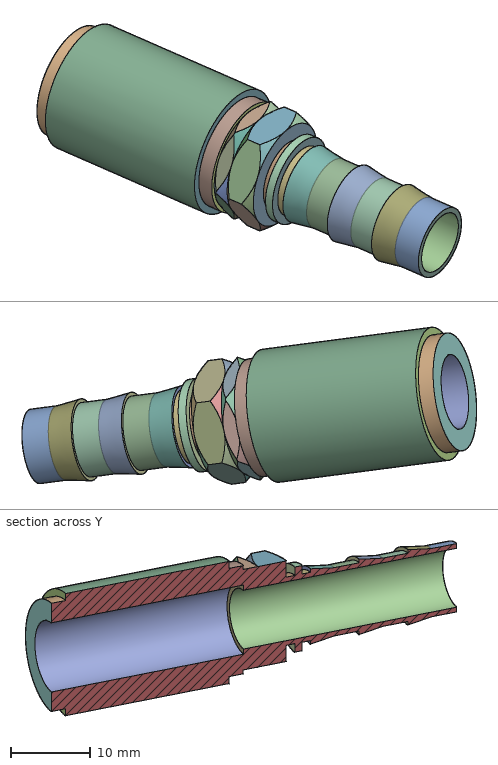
import cadquery as cq
import math

total_length = 57
collar_length = 2.0
sleeve_length = 23.0
nut_thin_width = 2.0
nut_wide_width = 4.05
ring_start = 34.2
ring_width = 1.1
barb_start = 36.4
barb_length = 3.3
barb_pitch = 6.85
barb_count = 3

sleeve_diameter = 17.0
collar_diameter = 15.05
nut_across_flats = 13.95
ring_diameter = 11.85
tail_diameter = 9.5
barb_diameter = 10.5
bore_diameter = 8.1
socket_diameter = tail_diameter

sleeve_end = collar_length + sleeve_length
collar_end = sleeve_end + collar_length
nut_joint = collar_end + nut_thin_width
nut_end = nut_joint + nut_wide_width


def cylinder(diameter, start, end):
    """Cylinder on the X axis between two places along X."""
    return cq.Workplane("YZ", origin=(start, 0, 0)).circle(diameter / 2).extrude(end - start)


def turned(points):
    """Solid turned about the X axis from a profile of (place along X, radius) points."""
    return cq.Workplane("XZ").polyline(points).close().revolve(360, (0, 0, 0), (1, 0, 0))


def hex_section(start, end):
    """Hexagon with flats facing +Z and -Z, its corners chamfered at 45 degrees on both ends."""
    flat_radius = nut_across_flats / 2
    across_corners = nut_across_flats / math.cos(math.pi / 6)
    width = end - start
    prism = cq.Workplane("YZ", origin=(start, 0, 0)).polygon(6, across_corners).extrude(width)
    cones = turned([
        (start, 0),
        (start, flat_radius),
        (start + width / 2, flat_radius + width / 2),
        (end, flat_radius),
        (end, 0),
    ])
    return prism.intersect(cones)


def barb(start):
    """Hose barb: a sharp step that tapers down to the tail towards +X."""
    end = start + barb_length
    return turned([(start, 0), (start, barb_diameter / 2), (end, tail_diameter / 2), (end, 0)])


body = cylinder(collar_diameter, 0, collar_end)
body = body.union(cylinder(sleeve_diameter, collar_length, sleeve_end))

body = body.union(hex_section(collar_end, nut_joint))
body = body.union(hex_section(nut_joint, nut_end))

body = body.union(cylinder(tail_diameter, collar_end, total_length))
body = body.union(cylinder(ring_diameter, ring_start, ring_start + ring_width))
for index in range(barb_count):
    body = body.union(barb(barb_start + index * barb_pitch))

body = body.cut(cylinder(bore_diameter, 0, total_length))
result = body.cut(cylinder(socket_diameter, 0, collar_end))